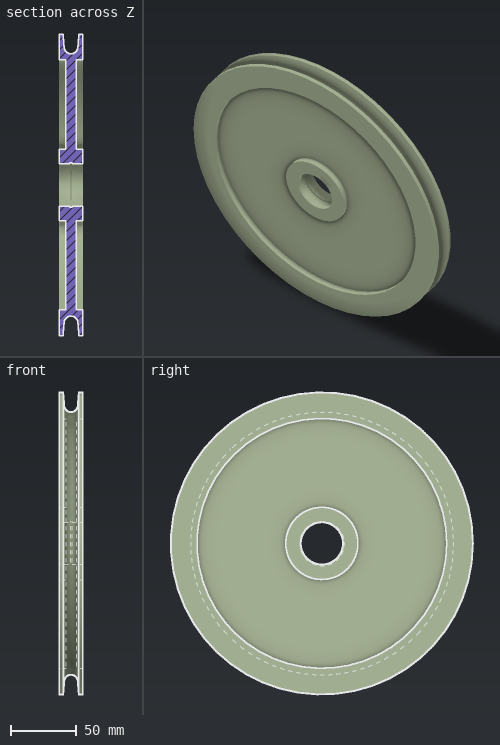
import cadquery as cq
import math

rim_diameter = 230.0
rim_width = 18.0
recess_diameter = 190.0
recess_depth = 4.8
hub_diameter = 55.0
bore_diameter = 32.0

rope_groove_depth = 15.0
rope_groove_bottom_radius = 5.0
rope_groove_mouth_width = 11.7

ring_groove_diameter = 33.8
ring_groove_width = 1.2

LONG_CUT = 2 * rim_width


def disc(diameter, start_x, length):
    """Solid cylinder on the X axis, running from start_x towards +X."""
    return cq.Workplane("YZ", origin=(start_x, 0, 0)).circle(diameter / 2).extrude(length)


def side_recess(start_x):
    """Ring-shaped pocket between the rim and the hub."""
    return disc(recess_diameter, start_x, recess_depth).cut(disc(hub_diameter, start_x, recess_depth))


def rope_groove():
    """Revolved cutter; X is the axis and the sketch's Y is the radius."""
    rim_radius = rim_diameter / 2
    bottom_y = rim_radius - rope_groove_depth
    center_y = bottom_y + rope_groove_bottom_radius
    mouth_half = rope_groove_mouth_width / 2

    mouth_rise = rim_radius - center_y
    mouth_distance = math.hypot(mouth_half, mouth_rise)
    tangent_angle = math.atan2(mouth_rise, mouth_half) - math.acos(rope_groove_bottom_radius / mouth_distance)
    tangent_x = rope_groove_bottom_radius * math.cos(tangent_angle)
    tangent_y = center_y + rope_groove_bottom_radius * math.sin(tangent_angle)

    return (
        cq.Workplane("XY")
        .moveTo(-mouth_half, rim_radius)
        .lineTo(-tangent_x, tangent_y)
        .threePointArc((0, bottom_y), (tangent_x, tangent_y))
        .lineTo(mouth_half, rim_radius)
        .close()
        .revolve(360, (0, 0, 0), (1, 0, 0))
    )


wheel = disc(rim_diameter, -rim_width / 2, rim_width)
for recess_start_x in (-rim_width / 2, rim_width / 2 - recess_depth):
    wheel = wheel.cut(side_recess(recess_start_x))
wheel = wheel.cut(rope_groove())
wheel = wheel.cut(disc(bore_diameter, -LONG_CUT / 2, LONG_CUT))
wheel = wheel.cut(disc(ring_groove_diameter, -ring_groove_width / 2, ring_groove_width))

result = wheel